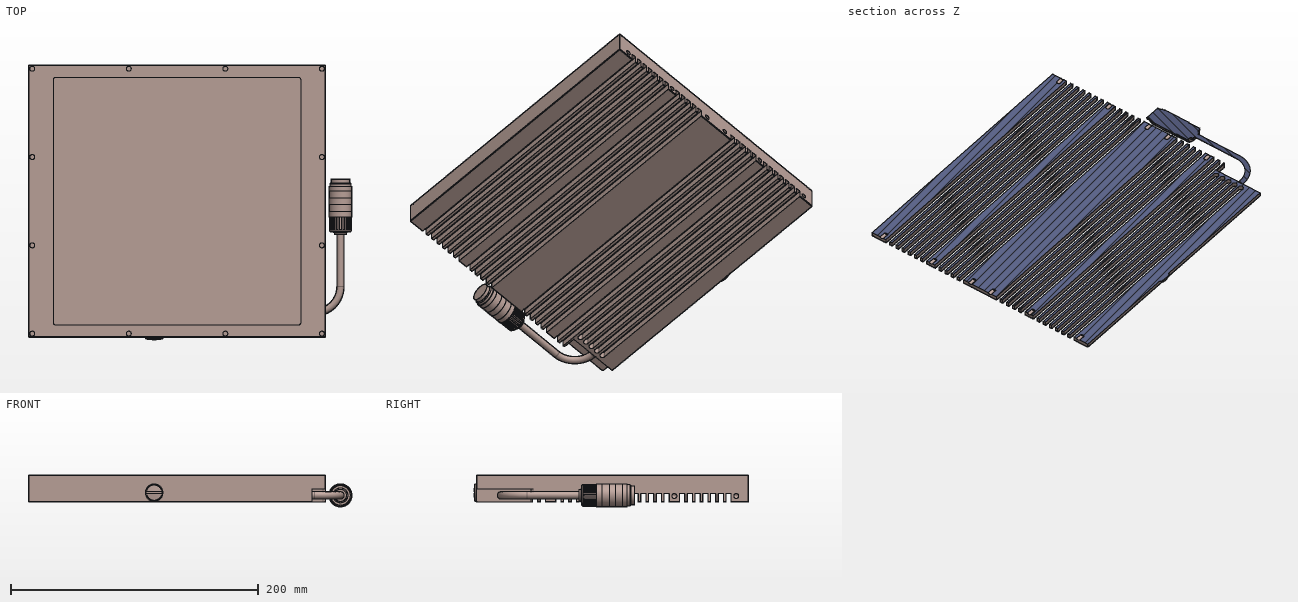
import cadquery as cq
import math

length = 240.0
width = 220.0
height = 22.0
edge_chamfer = 0.5

window_size = 200.0
window_depth = 1.0
window_corner_radius = 2.0

screw_hole_diameter = 4.0
screw_hole_depth = 1.0
screw_edge_inset = 3.0
screws_per_side = 4
side_screw_offsets = (10.0, 50.0, 100.0)
side_screw_height = 5.0
side_screw_depth = 6.0
drill_point_angle = 118.0

slot_pitch = 6.25
slot_width = 4.0
slot_depth = 7.0
first_slot = 3
last_slot = 15
side_screw_slot = 8

notch_length = 11.0
notch_width = 44.0
notch_height = 10.7
notch_corner_radius = 2.0
notch_wall_thickness = 3.0

plug_x = -18.5
plug_z = 7.7
plug_diameter = 14.0
plug_height = 1.98
plug_rim_height = 1.0
plug_dome_diameter = 12.4
plug_dome_base = 1.4
plug_slot_width = 1.7
plug_slot_depth = 0.7

cable_diameter = 6.0
cable_x = 132.0
cable_z = 5.5
bend_radius = 21.0
bend_start_y = -69.0

connector_diameter = 18.6
connector_start_y = -27.1
collar_diameter = 9.8
collar_length = 2.2
collar_flare_diameter = 12.0
collar_flare_length = 0.6
nut_diameter = 17.9
nut_length = 12.2
nut_chamfer = 1.0
flute_count = 20
flute_width = 1.3
flute_depth = 0.7
flute_end_margin = 2.0
sleeve_length = 24.5
band_width = 5.8
band_depth = 0.1
band_spacing = 10.8
first_band_start = 4.4
band_count = 2
shoulder_length = 3.0
shoulder_diameter = 17.2
shoulder_chamfer = 0.8
nose_diameter = 15.3
nose_length = 3.0

x_end = length / 2
y_end = width / 2
notch_wall_x = x_end - notch_length
notch_wall_y = -y_end + notch_width


def box_between(x0, x1, y0, y1, z0, z1):
    """Box between two opposite corners."""
    return cq.Workplane("XY").box(x1 - x0, y1 - y0, z1 - z0, centered=False).translate((x0, y0, z0))


def make_blank():
    """Plain block with all its edges lightly chamfered."""
    block = cq.Workplane("XY").box(length, width, height, centered=(True, True, False))
    return block.edges().chamfer(edge_chamfer)


def make_window():
    """Shallow rounded-corner recess for the top face."""
    return (
        cq.Workplane("XY", origin=(0, 0, height - window_depth))
        .rect(window_size, window_size)
        .extrude(window_depth)
        .edges("|Z")
        .fillet(window_corner_radius)
    )


def make_top_screw_holes():
    """Screw holes evenly spaced round the rim of the top face."""
    span_x = length - 2 * screw_edge_inset
    span_y = width - 2 * screw_edge_inset
    last = screws_per_side - 1
    points = [
        (span_x * (i / last - 0.5), span_y * (j / last - 0.5))
        for i in range(screws_per_side)
        for j in range(screws_per_side)
        if i in (0, last) or j in (0, last)
    ]
    return (
        cq.Workplane("XY", origin=(0, 0, height - screw_hole_depth))
        .pushPoints(points)
        .circle(screw_hole_diameter / 2)
        .extrude(screw_hole_depth)
    )


def make_side_screw_hole(y):
    """Blind drilled hole with a conical bottom, in the -X end face."""
    radius = screw_hole_diameter / 2
    point_length = radius / math.tan(math.radians(drill_point_angle / 2))
    profile = (
        cq.Workplane("XY")
        .polyline([(0, 0), (0, radius), (side_screw_depth, radius), (side_screw_depth + point_length, 0)])
        .close()
    )
    return profile.revolve(360, (0, 0, 0), (1, 0, 0)).translate((-x_end, y, side_screw_height))


def make_side_screw_holes():
    """Screw holes along the lower part of both X end faces."""
    holes = cq.Workplane("XY")
    for offset in side_screw_offsets:
        for y in (-offset, offset):
            hole = make_side_screw_hole(y)
            holes = holes.add(hole).add(hole.mirror("YZ"))
    return holes.combine()


def make_slot(y):
    """Cooling slot: open at both ends, or round-ended in front of the cable notch."""
    end_radius = slot_width / 2
    blind = y - end_radius < notch_wall_y
    end_x = notch_wall_x - notch_wall_thickness - end_radius if blind else x_end
    slot = box_between(-x_end, end_x, y - end_radius, y + end_radius, 0, slot_depth)
    if blind:
        slot = slot.union(cq.Workplane("XY").center(end_x, y).circle(end_radius).extrude(slot_depth))
    return slot


def make_notch():
    """Open pocket that takes the cable out of the housing corner."""
    return box_between(notch_wall_x, x_end, -y_end, notch_wall_y, 0, notch_height)


def make_plug():
    """Round plug on the front face: a bevelled rim, a shallow dome and a screwdriver slot."""
    rim = plug_diameter / 2
    dome_rim = plug_dome_diameter / 2
    dome_height = plug_height - plug_dome_base
    dome_radius = (dome_rim**2 + dome_height**2) / (2 * dome_height)
    profile = (
        cq.Workplane("XY")
        .moveTo(0, 0)
        .lineTo(rim, 0)
        .lineTo(rim, -plug_rim_height)
        .lineTo(dome_rim, -plug_dome_base)
        .radiusArc((0, -plug_height), dome_radius)
        .close()
    )
    dome = profile.revolve(360, (0, 0, 0), (0, 1, 0))
    slot = box_between(
        -rim, rim, -plug_height, plug_slot_depth - plug_height, -plug_slot_width / 2, plug_slot_width / 2
    )
    return dome.cut(slot).translate((plug_x, -y_end, plug_z))


def make_housing():
    """Housing with its window, screw holes, cooling slots, notch and plug."""
    housing = make_blank().cut(make_window()).cut(make_top_screw_holes()).cut(make_side_screw_holes())
    for index in range(first_slot, last_slot + 1):
        if index != side_screw_slot:
            housing = housing.cut(make_slot(index * slot_pitch)).cut(make_slot(-index * slot_pitch))
    housing = housing.cut(make_notch())
    corner = cq.selectors.NearestToPointSelector((x_end, notch_wall_y, notch_height / 2))
    housing = housing.edges("|Z").edges(corner).fillet(notch_corner_radius)
    return housing.union(make_plug())


def make_cable():
    """Round cable from the notch wall, through a quarter bend, to the connector."""
    bend_end = (cable_x - bend_radius, bend_start_y - bend_radius)
    diagonal = bend_radius * math.sqrt(0.5)
    bend_middle = (bend_end[0] + diagonal, bend_start_y - diagonal)
    path = (
        cq.Workplane("XY", origin=(0, 0, cable_z))
        .moveTo(notch_wall_x, bend_end[1])
        .lineTo(*bend_end)
        .threePointArc(bend_middle, (cable_x, bend_start_y))
        .lineTo(cable_x, connector_start_y)
    )
    section = cq.Workplane("YZ", origin=(notch_wall_x, bend_end[1], cable_z)).circle(cable_diameter / 2)
    return section.sweep(path)


def make_cylinder(start, diameter, span):
    """Cylinder on the connector axis, starting at a distance from the cable end."""
    origin = (cable_x, connector_start_y + start, cable_z)
    return cq.Workplane("XZ", origin=origin).circle(diameter / 2).extrude(-span)


def make_collar():
    """Cable collar that flares where it meets the nut."""
    flare_start = connector_start_y + collar_length - collar_flare_length
    flare = cq.Solid.makeCone(
        collar_diameter / 2,
        collar_flare_diameter / 2,
        collar_flare_length,
        pnt=cq.Vector(cable_x, flare_start, cable_z),
        dir=cq.Vector(0, 1, 0),
    )
    return make_cylinder(0, collar_diameter, collar_length).union(cq.Workplane(flare))


def make_shoulder(start):
    """Chamfered shoulder between the sleeve and the nose."""
    return make_cylinder(start, shoulder_diameter, shoulder_length).faces(">Y").chamfer(shoulder_chamfer)


def make_nut(start):
    """Clamping nut with flutes round its side."""
    nut = make_cylinder(start, nut_diameter, nut_length).faces("<Y").chamfer(nut_chamfer)
    flute_length = nut_length - flute_end_margin
    axis_y = connector_start_y + start
    for index in range(flute_count):
        flute = (
            cq.Workplane("XY")
            .box(flute_width, flute_length, 2 * flute_depth, centered=(True, False, True))
            .translate((0, flute_end_margin, nut_diameter / 2))
            .rotate((0, 0, 0), (0, 1, 0), index * 360 / flute_count)
            .translate((cable_x, axis_y, cable_z))
        )
        nut = nut.cut(flute)
    return nut


def make_sleeve(start):
    """Connector sleeve with shallow recessed bands."""
    sleeve = make_cylinder(start, connector_diameter, sleeve_length)
    for index in range(band_count):
        band_start = start + first_band_start + index * band_spacing
        outer = make_cylinder(band_start, 2 * connector_diameter, band_width)
        inner = make_cylinder(band_start, connector_diameter - 2 * band_depth, band_width)
        sleeve = sleeve.cut(outer.cut(inner))
    return sleeve


def make_cable_assembly():
    """Cable and connector as one body."""
    nut_start = collar_length
    sleeve_start = nut_start + nut_length
    shoulder_start = sleeve_start + sleeve_length
    nose_start = shoulder_start + shoulder_length
    parts = [
        make_collar(),
        make_nut(nut_start),
        make_sleeve(sleeve_start),
        make_shoulder(shoulder_start),
        make_cylinder(nose_start, nose_diameter, nose_length),
    ]
    assembly = make_cable()
    for part in parts:
        assembly = assembly.union(part)
    return assembly


housing = make_housing()
cable_assembly = make_cable_assembly()
result = cq.Compound.makeCompound([housing.val(), cable_assembly.val()])